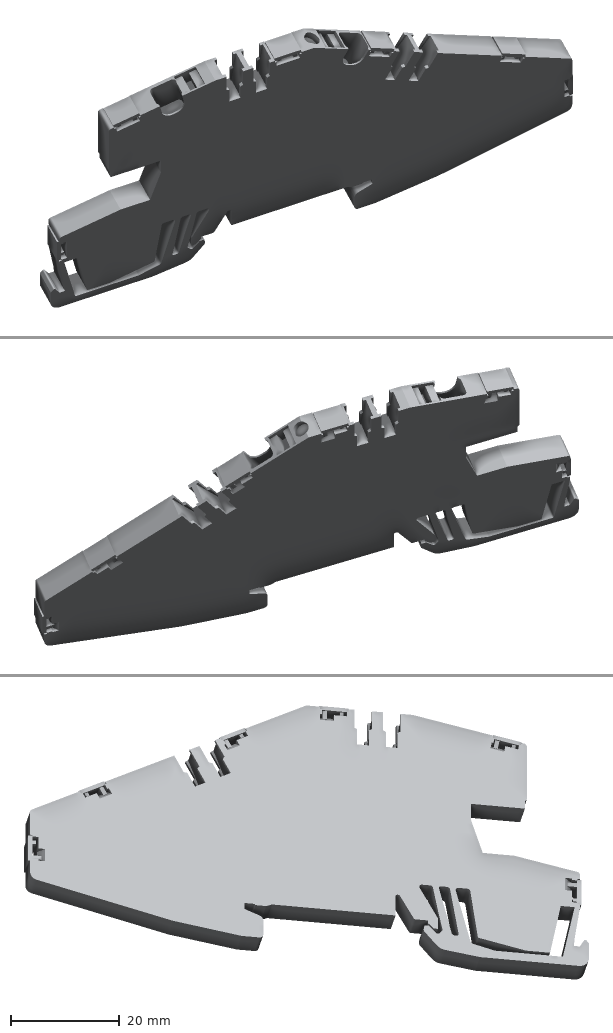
import cadquery as cq
import math


thickness = 5.1
length = 104.88
height = 50.51
label_rise = 0.31
back_y = length - label_rise
top_z = height - label_rise

long_slope = 28.0
short_slope = 10.8
long_slope_start_y = 52.9
short_slope_start_y = 33.0
nose_y = 11.65
front_y = 1.7
step_z = 22.2
step_end_y = 14.0
rail_z = 7.25


def long_slope_z(y):
    return top_z - (y - long_slope_start_y) * math.tan(math.radians(long_slope))


def short_slope_z(y):
    return top_z - (short_slope_start_y - y) * math.tan(math.radians(short_slope))


def front_slope_z(y):
    return step_z - (step_end_y - y) * math.tan(math.radians(short_slope))


label_width = 4.5
leg_span = 3.9
label_length = 5.35
label_plate = 0.8
label_recess_length = 4.7
label_recess_depth = 1.85
long_leg_offset = 1.7
long_leg_length = 0.8
long_leg_depth = 2.5
short_leg_offset = 1.5
short_leg_length = 0.7
short_leg_depth = 1.55
finger_length = 2.6
finger_depth = 3.1
finger_reach = 1.4

slot_pitch = 5.35
slot_mouth = 3.3
slot_neck = 2.2
slot_depth = 7.3
slot_step_depth = 3.8
slot_step_ramp = 0.3
slot_core_x_min = 0.6
slot_core_width = 3.8
slot_core_mouth = 4.4
slot_core_floor = 2.5

entry_x_min = 0.66
entry_x_max = 4.76
entry_length = 5.3
entry_depth = 6.5
entry_corner = 0.8
scoop_length = 4.6
scoop_depth = 4.0
scoop_corner = 2.0
plunger_x_min = 0.34
plunger_x_max = 4.76
plunger_length = 4.4
plunger_recess = 0.8
plunger_bottom = 8.0
driver_slot_width = 1.4
driver_slot_depth = 2.5
test_hole_diameter = 3.0
test_hole_depth = 1.3

back_label_z = 14.83
front_label_z = 15.78
lower_label_y = 92.9
upper_label_y = 66.6
top_label_y = 47.65
nose_label_y = 15.3
top_slots_y = 39.6
slope_slots_y = 73.8
upper_entry_y = 61.75
upper_plunger_y = 57.2
test_hole_y = 53.55
nose_entry_y = 24.15
nose_plunger_y = 28.9


def long_slope_seat(y):
    return (y, long_slope_z(y), long_slope)


def short_slope_seat(y):
    return (y, short_slope_z(y), -short_slope)


label_seats = [
    ((back_y, back_label_z, 90), 1),
    (long_slope_seat(lower_label_y), -1),
    (long_slope_seat(upper_label_y), 1),
    ((top_label_y, top_z, 0), 1),
    (short_slope_seat(nose_label_y), 1),
    ((front_y, front_label_z, -90), 1),
]
slot_seats = [long_slope_seat(slope_slots_y), (top_slots_y, top_z, 0)]
entry_seats = [long_slope_seat(upper_entry_y), short_slope_seat(nose_entry_y)]
plunger_seats = [long_slope_seat(upper_plunger_y), short_slope_seat(nose_plunger_y)]


def place(feature, seat):
    """Move a feature modelled on a level surface at the origin onto a seat."""
    y, z, tilt = seat
    angle = math.radians(tilt)
    plane = cq.Plane(origin=(0, y, z), xDir=(1, 0, 0), normal=(0, math.sin(angle), math.cos(angle)))
    return cq.Workplane(feature.val().moved(cq.Location(plane)))


def block(x_range, y_range, z_range):
    sizes = [high - low for low, high in (x_range, y_range, z_range)]
    corner = (x_range[0], y_range[0], z_range[0])
    return cq.Workplane().box(*sizes, centered=False).translate(corner)


def rounded_profile(corners):
    """Closed YZ wire through (y, z, radius) corners, with a tangent arc at each radius above 0."""
    path = None
    count = len(corners)
    for i, (y, z, radius) in enumerate(corners):
        corner = cq.Vector(y, z)
        to_previous = (cq.Vector(*corners[i - 1][:2]) - corner).normalized()
        to_next = (cq.Vector(*corners[(i + 1) % count][:2]) - corner).normalized()
        half = to_previous.getAngle(to_next) / 2
        setback = radius / math.tan(half)
        start = corner + to_previous * setback
        if path is None:
            path = cq.Workplane("YZ").moveTo(start.x, start.y)
        else:
            path = path.lineTo(start.x, start.y)
        if radius > 0:
            bisector = (to_previous + to_next).normalized()
            middle = corner + bisector * (radius / math.sin(half) - radius)
            end = corner + to_next * setback
            path = path.threePointArc((middle.x, middle.y), (end.x, end.y))
    return path.close()


outline = [
    (back_y, long_slope_z(back_y), 0.6),
    (long_slope_start_y, top_z, 0),
    (short_slope_start_y, top_z, 0),
    (nose_y, short_slope_z(nose_y), 0.6),
    (nose_y, 34.4, 0),
    (12.0, 34.0, 0),
    (12.0, 32.4, 0),
    (22.1, 32.4, 0),
    (22.1, 29.0, 0),
    (19.9, step_z, 0),
    (step_end_y, step_z, 0),
    (front_y, front_slope_z(front_y), 0.6),
    (front_y, 12.4, 0),
    (2.7, 5.8, 0),
    (2.84, 4.15, 0),
    (1.75, 4.15, 0),
    (0.75, 5.85, 0.25),
    (0, 5.0, 0),
    (0, 0, 1.9),
    (20.4, 0, 0),
    (27.9, 1.0, 2.5),
    (31.0, 4.6, 0.8),
    (30.8, 5.7, 0),
    (29.9, 5.7, 0),
    (28.3, 4.0, 0.4),
    (27.4, 5.0, 0.4),
    (28.3, 9.2, 0),
    (29.3, 14.3, 0.5),
    (32.1, 14.3, 0.5),
    (28.25, 7.4, 0),
    (28.25, 5.2, 0),
    (29.0, 5.2, 0),
    (30.1, 6.2, 0),
    (30.1, 6.8, 0),
    (32.7, 6.8, 0.5),
    (35.5, 11.7, 0.4),
    (36.2, 11.7, 0.4),
    (36.2, rail_z, 0),
    (59.3, rail_z, 0),
    (60.4, 6.8, 0),
    (62.4, 6.8, 0),
    (62.6, 7.05, 0),
    (64.5, 7.05, 0),
    (64.5, 5.8, 0),
    (60.92, 4.4, 1.2),
    (60.92, 0, 0.8),
    (65.0, 0, 0),
    (77.8, 1.9, 0),
    (back_y, 8.35, 1.6),
]

spring_slot = [
    (28.2, 14.3, 0.4),
    (25.6, 4.15, 0.5),
    (24.35, 4.15, 0.3),
    (26.1, 14.3, 0.6),
]

foot_window = [
    (25.1, 14.3, 0.5),
    (22.1, 2.8, 0.8),
    (17.6, 1.65, 0),
    (4.9, 1.65, 0.3),
    (2.7, 12.4, 0),
    (5.3, 12.4, 0),
    (7.3, 2.25, 0),
    (11.8, 2.25, 0),
    (20.8, 4.1, 0.4),
    (22.3, 14.3, 0.6),
]

housing = rounded_profile(outline).extrude(thickness)
for opening in (spring_slot, foot_window):
    housing = housing.cut(rounded_profile(opening).extrude(thickness))


def marker_slot():
    """Stepped slot through the full thickness with a tapered middle part."""
    ramp_end = slot_step_depth + slot_step_ramp
    stepped = (
        cq.Workplane("YZ")
        .polyline([
            (-slot_mouth / 2, label_rise),
            (slot_mouth / 2, label_rise),
            (slot_mouth / 2, -slot_step_depth),
            (slot_neck / 2, -ramp_end),
            (slot_neck / 2, -slot_depth),
            (-slot_neck / 2, -slot_depth),
            (-slot_neck / 2, -ramp_end),
            (-slot_mouth / 2, -slot_step_depth),
        ])
        .close()
        .extrude(thickness)
    )
    core = (
        cq.Workplane("YZ", origin=(slot_core_x_min, 0, 0))
        .polyline([
            (-slot_core_mouth / 2, 0),
            (slot_core_mouth / 2, 0),
            (slot_core_floor / 2, -slot_depth),
            (-slot_core_floor / 2, -slot_depth),
        ])
        .close()
        .extrude(slot_core_width)
    )
    return stepped.union(core)


for seat in slot_seats:
    for side in (-1, 1):
        slot = marker_slot().translate((0, side * slot_pitch / 2, 0))
        housing = housing.cut(place(slot, seat))


def wire_entry():
    """Blind rounded pocket whose +X wall is scooped away near the surface."""
    half = entry_length / 2
    pocket = block((entry_x_min, entry_x_max), (-half, half), (-entry_depth, label_rise))
    pocket = pocket.edges("|Z").fillet(entry_corner)
    half = scoop_length / 2
    scoop = block((thickness / 2, thickness), (-half, half), (-scoop_depth, label_rise))
    scoop = scoop.edges("|X and <Z").fillet(scoop_corner)
    return pocket.union(scoop)


for seat in entry_seats:
    housing = housing.cut(place(wire_entry(), seat))

test_hole = (
    cq.Workplane("XY", origin=(thickness / 2, 0, -test_hole_depth))
    .circle(test_hole_diameter / 2)
    .extrude(2 * test_hole_depth)
)
housing = housing.cut(place(test_hole, long_slope_seat(test_hole_y)))


def plunger_block(top):
    half = plunger_length / 2
    return block((plunger_x_min, plunger_x_max), (-half, half), (-plunger_bottom, top))


def release_plunger():
    """Block sunk below the surface, with a screwdriver slot across its head."""
    half = driver_slot_width / 2
    slot_floor = -plunger_recess - driver_slot_depth
    driver_slot = block((0, thickness), (-half, half), (slot_floor, 0))
    return plunger_block(-plunger_recess).cut(driver_slot)


plungers = []
for seat in plunger_seats:
    housing = housing.cut(place(plunger_block(label_rise), seat))
    plungers.append(place(release_plunger(), seat))


def span(center, width):
    return (center - width / 2, center + width / 2)


plate_x = span(thickness / 2, label_width)
leg_x = span(thickness / 2, leg_span)
full_x = (0, thickness)


def label_piece(x_range, center, length_y, depth):
    """Block reaching from the label's outer face down to a depth below it."""
    return block(x_range, span(center, length_y), (label_rise - depth, label_rise))


def long_leg(side):
    return label_piece(leg_x, side * long_leg_offset, long_leg_length, long_leg_depth)


def label(side):
    """Marker plate with a long clip leg and a short stop leg on its inner face."""
    plate = label_piece(plate_x, 0, label_length, label_plate)
    short_leg = label_piece(leg_x, -side * short_leg_offset, short_leg_length, short_leg_depth)
    return plate.union(long_leg(side)).union(short_leg)


def label_recess(side):
    """Seat for the plate, clearance behind it, the leg hole and a sloped finger pocket."""
    seat_cut = label_piece(full_x, 0, label_length, label_plate)
    clearance = label_piece(full_x, 0, label_recess_length, label_recess_depth)
    finger_top = label_rise - label_recess_depth
    finger_pocket = (
        cq.Workplane("XZ")
        .polyline([(0, finger_top), (finger_reach, finger_top), (0, label_rise - finger_depth)])
        .close()
        .extrude(finger_length / 2, both=True)
        .translate((0, side * (label_length - finger_length) / 2, 0))
    )
    return seat_cut.union(clearance).union(long_leg(side)).union(finger_pocket)


labels = []
for seat, side in label_seats:
    housing = housing.cut(place(label_recess(side), seat))
    labels.append(place(label(side), seat))

bodies = [housing, *labels, *plungers]
result = cq.Compound.makeCompound([body.val() for body in bodies])